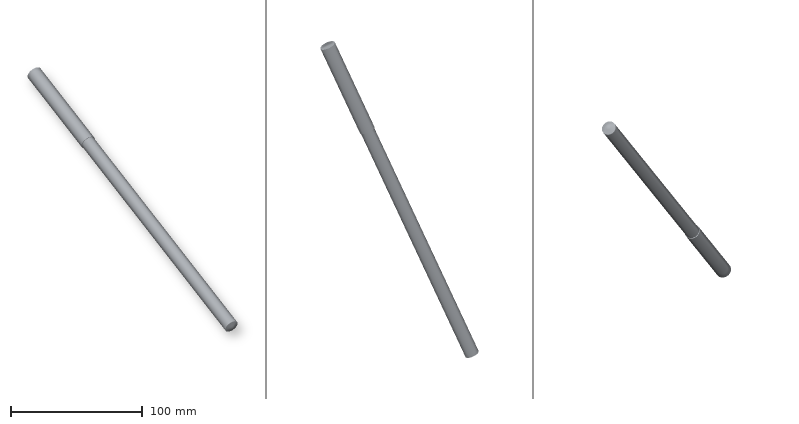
import cadquery as cq

total_length = 283.0
shank_length = 77.0
shank_diameter = 12.0
body_diameter = 11.0
tip_length = 1.7

shank_radius = shank_diameter / 2
body_radius = body_diameter / 2
tip_start = total_length - tip_length

half_profile = (
    cq.Workplane("XY")
    .lineTo(0, shank_radius)
    .lineTo(shank_length, shank_radius)
    .lineTo(shank_length, body_radius)
    .lineTo(tip_start, body_radius)
    .lineTo(total_length, 0)
    .close()
)

result = half_profile.revolve(360, (0, 0, 0), (1, 0, 0))